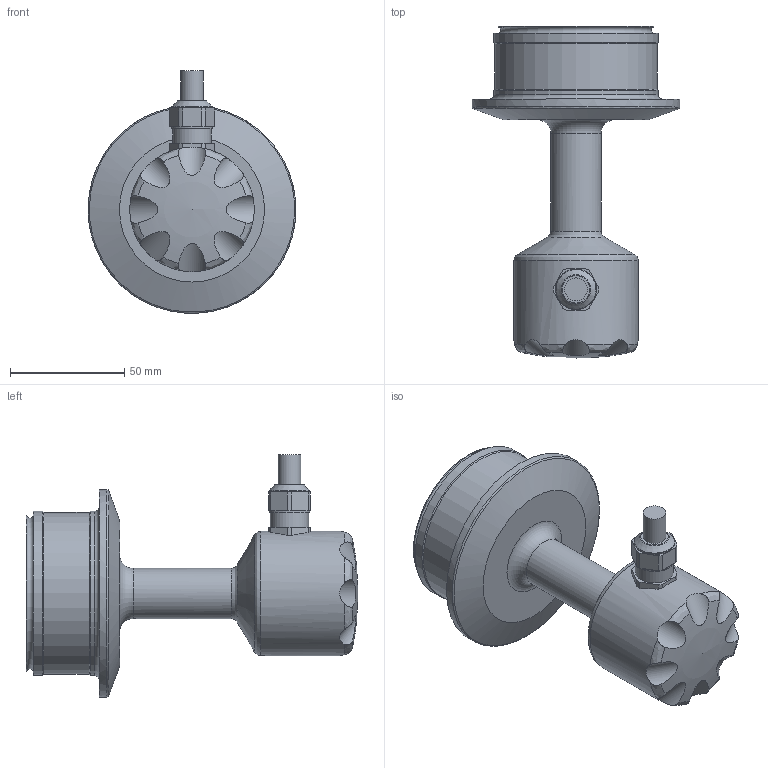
import cadquery as cq
import math

TOTAL_LENGTH = 145.4

LIP_RADIUS = 68 / 2
LIP_THICKNESS = 0.4
GROOVE_ROOT_RADIUS = 33.0
GROOVE_END_DEPTH = 3.1
BODY_RADIUS = 71 / 2
BAND_RADIUS = 71.9 / 2
FRONT_BAND_END = 7.2
REAR_BAND_START = 28.1
REAR_BAND_END = 30.0

FLANGE_RADIUS = 91 / 2
FLANGE_FRONT_DEPTH = 32.0
FLANGE_BACK_DEPTH = 41.0
FLANGE_BACK_RADIUS = 31.8
FLANGE_CONE_ANGLE = 20.0
FLANGE_RIM_FILLET = 0.8

STEM_RADIUS = 22 / 2
STEM_FLANGE_FILLET = 6.0
STEM_HOUSING_FILLET = 3.0
STEM_END_DEPTH = 91.6
HOUSING_RADIUS = 54.5 / 2
HOUSING_CONE_ANGLE = 30.0
HOUSING_SHOULDER_FILLET = 3.0
DOME_RADIUS = 125.0
CAP_EDGE_FILLET = 3.6

SCALLOP_COUNT = 8
SCALLOP_RADIUS = 7.2
SCALLOP_TILT = 30.0
SCALLOP_START_DEPTH = 137.4
SCALLOP_TOOL_LENGTH = 60.0

GLAND_DEPTH = 115.4
HEX_ACROSS_FLATS = 18.2
HEX_CORNER_RADIUS = 20 / 2
LOWER_HEX_TOP = 28.9
GLAND_NECK_RADIUS = 16.79 / 2
UPPER_HEX_BOTTOM = 36.3
UPPER_HEX_TOP = 44.5
COLLAR_RADIUS = 17.8 / 2
COLLAR_HEIGHT = 0.9
GLAND_TOP = 47.7
GLAND_TOP_FACE_RADIUS = 12 / 2
GLAND_TOP_FILLET = 0.6
COLLAR_FILLET = 0.5
GLAND_TAPER_ANGLE = 45.0
CABLE_RADIUS = 10 / 2
CABLE_TOP = 60.8
GLAND_ROOT = 20.0

SELECTION_MARGIN = 0.01


def revolve_about_y(profile):
    return profile.close().revolve(360, (0, 0, 0), (0, 1, 0))


def sensing_end():
    """Lip, round-bottomed seal groove, and the body up to the flange face."""
    band_step = BAND_RADIUS - BODY_RADIUS
    root_fillet = FLANGE_FRONT_DEPTH - REAR_BAND_END
    arc_mid = root_fillet * (1 - math.sqrt(0.5))
    groove_mid_depth = (LIP_THICKNESS + GROOVE_END_DEPTH) / 2
    profile = (
        cq.Workplane("XY")
        .moveTo(0, 0)
        .lineTo(LIP_RADIUS, 0)
        .lineTo(LIP_RADIUS, -LIP_THICKNESS)
        .threePointArc((GROOVE_ROOT_RADIUS, -groove_mid_depth), (LIP_RADIUS, -GROOVE_END_DEPTH))
        .lineTo(BAND_RADIUS, -GROOVE_END_DEPTH)
        .lineTo(BAND_RADIUS, -FRONT_BAND_END)
        .lineTo(BODY_RADIUS, -FRONT_BAND_END - band_step)
        .lineTo(BODY_RADIUS, -REAR_BAND_START + band_step)
        .lineTo(BAND_RADIUS, -REAR_BAND_START)
        .lineTo(BAND_RADIUS, -REAR_BAND_END)
        .threePointArc(
            (BAND_RADIUS + arc_mid, -FLANGE_FRONT_DEPTH + arc_mid),
            (BAND_RADIUS + root_fillet, -FLANGE_FRONT_DEPTH),
        )
        .lineTo(0, -FLANGE_FRONT_DEPTH)
    )
    return revolve_about_y(profile)


def edges_in_box(centre, half_sizes):
    """Selector for the edges lying wholly in a box, given by its centre and half sizes."""
    low = tuple(middle - half - SELECTION_MARGIN for middle, half in zip(centre, half_sizes))
    high = tuple(middle + half + SELECTION_MARGIN for middle, half in zip(centre, half_sizes))
    return cq.selectors.BoxSelector(low, high, boundingbox=True)


def flange_stem_and_housing():
    """Clamp flange, stem and domed housing as one turned body with its fillets."""
    cone_depth = (FLANGE_RADIUS - FLANGE_BACK_RADIUS) * math.tan(math.radians(FLANGE_CONE_ANGLE))
    rim_depth = FLANGE_BACK_DEPTH - cone_depth
    shoulder_rise = (HOUSING_RADIUS - STEM_RADIUS) * math.tan(math.radians(HOUSING_CONE_ANGLE))
    shoulder_depth = STEM_END_DEPTH + shoulder_rise

    def dome_depth(radius):
        return TOTAL_LENGTH - DOME_RADIUS + math.sqrt(DOME_RADIUS**2 - radius**2)

    cap_edge_depth = dome_depth(HOUSING_RADIUS)
    half_radius = HOUSING_RADIUS / 2
    profile = (
        cq.Workplane("XY")
        .moveTo(0, -FLANGE_FRONT_DEPTH)
        .lineTo(FLANGE_RADIUS, -FLANGE_FRONT_DEPTH)
        .lineTo(FLANGE_RADIUS, -rim_depth)
        .lineTo(FLANGE_BACK_RADIUS, -FLANGE_BACK_DEPTH)
        .lineTo(STEM_RADIUS, -FLANGE_BACK_DEPTH)
        .lineTo(STEM_RADIUS, -STEM_END_DEPTH)
        .lineTo(HOUSING_RADIUS, -shoulder_depth)
        .lineTo(HOUSING_RADIUS, -cap_edge_depth)
        .threePointArc((half_radius, -dome_depth(half_radius)), (0, -TOTAL_LENGTH))
    )
    body = revolve_about_y(profile)
    fillets = (
        (FLANGE_RADIUS, rim_depth, FLANGE_RIM_FILLET),
        (STEM_RADIUS, FLANGE_BACK_DEPTH, STEM_FLANGE_FILLET),
        (STEM_RADIUS, STEM_END_DEPTH, STEM_HOUSING_FILLET),
        (HOUSING_RADIUS, shoulder_depth, HOUSING_SHOULDER_FILLET),
        (HOUSING_RADIUS, cap_edge_depth, CAP_EDGE_FILLET),
    )
    for radius, depth, fillet_radius in fillets:
        ring = edges_in_box((0, -depth, 0), (radius, 0, radius))
        body = body.edges(ring).fillet(fillet_radius)
    return body


def scallops():
    """Tilted cylinders whose deepest line leaves the housing side at the start depth."""
    tilt = math.radians(SCALLOP_TILT)
    axis = cq.Vector(0, math.sin(tilt), math.cos(tilt))
    toward_tool_axis = cq.Vector(0, -math.cos(tilt), math.sin(tilt))
    deepest_point = cq.Vector(0, -SCALLOP_START_DEPTH, HOUSING_RADIUS)
    tool_centre = deepest_point + toward_tool_axis * SCALLOP_RADIUS
    tool_start = tool_centre - axis * (SCALLOP_TOOL_LENGTH / 2)
    tool = cq.Workplane(cq.Solid.makeCylinder(SCALLOP_RADIUS, SCALLOP_TOOL_LENGTH, tool_start, axis))
    step = 360 / SCALLOP_COUNT
    return [tool.rotate((0, 0, 0), (0, 1, 0), index * step) for index in range(SCALLOP_COUNT)]


def gland_cylinder(radius, bottom, top):
    return cq.Workplane("XY", origin=(0, -GLAND_DEPTH, bottom)).circle(radius).extrude(top - bottom)


def gland_hexagon(bottom, top):
    """Hexagon with flats facing +Y and -Y and its corners turned down."""
    corner_diameter = HEX_ACROSS_FLATS / math.cos(math.radians(30))
    hexagon = (
        cq.Workplane("XY", origin=(0, -GLAND_DEPTH, bottom))
        .polygon(6, corner_diameter)
        .extrude(top - bottom)
    )
    return hexagon.intersect(gland_cylinder(HEX_CORNER_RADIUS, bottom, top))


def gland_taper():
    """Collar with a taper above it, rounded at both ends of the taper."""
    corner_setback = GLAND_TOP_FILLET * math.tan(math.radians(GLAND_TAPER_ANGLE / 2))
    top_radius = GLAND_TOP_FACE_RADIUS + corner_setback
    taper_width = COLLAR_RADIUS - top_radius
    taper_height = taper_width * math.tan(math.radians(GLAND_TAPER_ANGLE))
    collar = gland_cylinder(COLLAR_RADIUS, UPPER_HEX_BOTTOM - COLLAR_HEIGHT, GLAND_TOP)
    tapered = collar.faces(">Z").edges().chamfer(taper_height, taper_width)
    tapered = tapered.faces(">Z").edges().fillet(GLAND_TOP_FILLET)
    taper_bottom = GLAND_TOP - taper_height
    collar_edge = edges_in_box((0, -GLAND_DEPTH, taper_bottom), (COLLAR_RADIUS, COLLAR_RADIUS, 0))
    return tapered.edges(collar_edge).fillet(COLLAR_FILLET)


def cable_gland():
    """Two hexagons joined by a neck, a tapered top and the cable stub."""
    return (
        gland_hexagon(GLAND_ROOT, LOWER_HEX_TOP)
        .union(gland_cylinder(GLAND_NECK_RADIUS, GLAND_ROOT, UPPER_HEX_BOTTOM))
        .union(gland_taper())
        .union(gland_hexagon(UPPER_HEX_BOTTOM, UPPER_HEX_TOP))
        .union(gland_cylinder(CABLE_RADIUS, GLAND_ROOT, CABLE_TOP))
    )


result = flange_stem_and_housing().union(sensing_end())
for scallop in scallops():
    result = result.cut(scallop)
result = result.union(cable_gland())